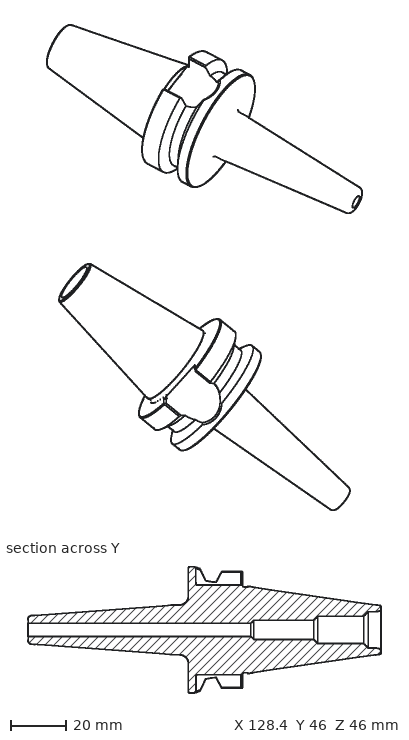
import cadquery as cq
import math

length = 128.4

taper_slope = 7 / 24 / 2
taper_length = 48.4
taper_large_radius = 15.9
taper_small_radius = taper_large_radius - taper_length * taper_slope
taper_end_chamfer = 0.4

neck_radius = 31.2 / 2
neck_fillet = 0.8

flange_radius = 46.0 / 2
flange_back = 50.3
flange_front = 70.1
rim_chamfer = 0.4
groove_start = 57.8
groove_end = 66.0
groove_radius = 19.1
groove_wall_width = (flange_radius - groove_radius) * math.tan(math.radians(30))

shank_radius = 18.2 / 2
shank_fillet = 3.1
shank_taper_start = 75.5
tip_rounding = 1.5
tip_radius = 5.3

mouth_radius = 7.0
mouth_depth = 1.8
counterbore_radius = 13.1 / 2
counterbore_depth = 4.8
pilot_radius = 4.9
pilot_depth = 23.1
shoulder_length = counterbore_radius - pilot_radius
step_radius = 3.5
step_depth = 46.2
through_radius = 4.8 / 2

slot_half_width = 8.1
slot_floor = 16.3
slot_end = 67.3
slot_floor_fillet = 0.5
slot_edge_chamfer = 0.6


def make_body():
    """Revolve the whole outer profile about X."""
    neck_end = flange_back - neck_fillet
    arc_mid = math.sqrt(0.5)
    shank_start = flange_front + shank_fillet
    tip_start = length - tip_rounding
    profile = (
        cq.Workplane("XY")
        .moveTo(0, 0)
        .lineTo(0, taper_small_radius - taper_end_chamfer)
        .lineTo(taper_end_chamfer, taper_small_radius + taper_end_chamfer * taper_slope)
        .lineTo(taper_length, taper_large_radius)
        .lineTo(taper_length, neck_radius)
        .lineTo(neck_end, neck_radius)
        .threePointArc(
            (neck_end + neck_fillet * arc_mid, neck_radius + neck_fillet * (1 - arc_mid)),
            (flange_back, neck_radius + neck_fillet),
        )
        .lineTo(flange_back, flange_radius - rim_chamfer)
        .lineTo(flange_back + rim_chamfer, flange_radius)
        .lineTo(groove_start, flange_radius)
        .lineTo(groove_start + groove_wall_width, groove_radius)
        .lineTo(groove_end - groove_wall_width, groove_radius)
        .lineTo(groove_end, flange_radius)
        .lineTo(flange_front - rim_chamfer, flange_radius)
        .lineTo(flange_front, flange_radius - rim_chamfer)
        .lineTo(flange_front, shank_radius + shank_fillet)
        .threePointArc(
            (shank_start - shank_fillet * arc_mid, shank_radius + shank_fillet * (1 - arc_mid)),
            (shank_start, shank_radius),
        )
        .lineTo(shank_taper_start, shank_radius)
        .lineTo(tip_start, tip_radius)
        .threePointArc(
            (tip_start + tip_rounding * arc_mid, tip_radius - tip_rounding * (1 - arc_mid)),
            (length, tip_radius - tip_rounding),
        )
        .lineTo(length, 0)
        .close()
    )
    return profile.revolve(360, (0, 0, 0), (1, 0, 0))


def make_bore():
    """Counterbore with a flared mouth, narrowing in conical steps to the through hole."""
    profile = (
        cq.Workplane("XY")
        .moveTo(0, 0)
        .lineTo(0, mouth_radius)
        .lineTo(mouth_depth, counterbore_radius)
        .lineTo(counterbore_depth, counterbore_radius)
        .lineTo(counterbore_depth + shoulder_length, pilot_radius)
        .lineTo(pilot_depth, pilot_radius)
        .lineTo(pilot_depth + pilot_radius - step_radius, step_radius)
        .lineTo(step_depth, step_radius)
        .lineTo(step_depth + step_radius - through_radius, through_radius)
        .lineTo(length, through_radius)
        .lineTo(length, 0)
        .close()
    )
    return profile.revolve(360, (0, 0, 0), (1, 0, 0))


def make_slot():
    """Drive slot on the +Z side, with its floor fillet and widened mouth."""
    arc_start = slot_end - slot_half_width
    slot_depth = flange_radius - slot_floor
    pocket = (
        cq.Workplane("XY", origin=(0, 0, slot_floor))
        .moveTo(flange_back, -slot_half_width)
        .lineTo(arc_start, -slot_half_width)
        .threePointArc((slot_end, 0), (arc_start, slot_half_width))
        .lineTo(flange_back, slot_half_width)
        .close()
        .extrude(slot_depth)
    )
    pocket = pocket.faces("<Z").edges("not <X").fillet(slot_floor_fillet)

    mouth_width = slot_half_width + slot_edge_chamfer
    mouth = (
        cq.Workplane("XY", origin=(0, 0, slot_floor))
        .moveTo(flange_back, -mouth_width)
        .lineTo(flange_back + slot_edge_chamfer, -slot_half_width)
        .lineTo(flange_back + slot_edge_chamfer, slot_half_width)
        .lineTo(flange_back, mouth_width)
        .close()
        .extrude(slot_depth)
    )
    return pocket.union(mouth)


def bevel_slot_rims(body):
    """Chamfer the edges where the slot walls and round ends meet the flange rim."""
    tolerance = 0.1
    wall_rim_height = math.sqrt(flange_radius**2 - slot_half_width**2)
    rim_edges = []
    for edge in body.edges().vals():
        within_slot = edge.BoundingBox().ymax < slot_half_width + tolerance
        within_slot = within_slot and edge.BoundingBox().ymin > -slot_half_width - tolerance
        at_rim = abs(edge.Center().z) > wall_rim_height - tolerance
        past_mouth = edge.BoundingBox().xmax > flange_back + 2 * slot_edge_chamfer
        if within_slot and at_rim and past_mouth:
            rim_edges.append(edge)
    return body.newObject(rim_edges).chamfer(slot_edge_chamfer)


slot = make_slot()
result = make_body().cut(make_bore())
for turn in (0, 180):
    result = result.cut(slot.rotate((0, 0, 0), (1, 0, 0), turn))
result = bevel_slot_rims(result)